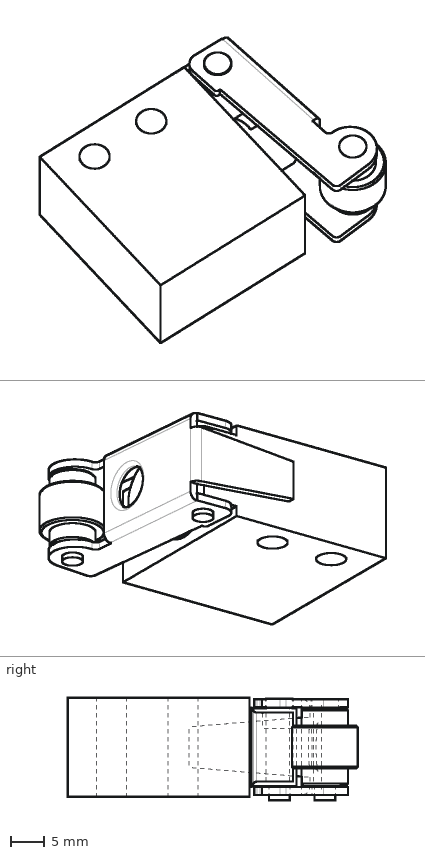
import cadquery as cq
import math

OVERALL_LENGTH = 43.8

HOUSING_WIDTH = 30.05
HOUSING_LENGTH = 27.45
HOUSING_THICKNESS = 15.0
MOUNTING_HOLE_DIAMETER = 4.55
MOUNTING_HOLE_X = 5.0
MOUNTING_HOLE_FIRST_Y = 6.6
MOUNTING_HOLE_SPACING = 10.77
LUG_LENGTH = 5.85
LUG_HEIGHT = 7.1
LUG_CHAMFER = 1.05
LUG_THICKNESS = 11.75

LEVER_ANGLE = 5.0
SHEET = 1.23
LEVER_OUTER_WIDTH = 14.45
LEVER_INNER_WIDTH = LEVER_OUTER_WIDTH - 2 * SHEET
FOLD_HEIGHT = 3.65
WEB_TOP = FOLD_HEIGHT + SHEET
WEB_LEFT = -2.9
WEB_RIGHT = 17.5
FLANGE_TOP_LEFT = -3.02
HEEL_LEFT = -3.75
HEEL_BOTTOM = -3.7
HEEL_RIGHT = 3.75
HEEL_RADIUS = 2.0
HEEL_STEP_RADIUS = 0.45
FLANGE_BOTTOM_LEFT = -2.95
FLANGE_BOTTOM_RIGHT = -2.35
NECK_HEIGHT = 3.4
TOE_RADIUS = 0.88
EAR_RADIUS = 4.05
EAR_CENTRE_HEIGHT = 4.15
EAR_ROOT_RADIUS = 0.8
WEB_HOLE_DIAMETER = 6.5
WEB_HOLE_ROUNDING = 0.65

TAB_BOTTOM_Y = 18.35
TAB_TOP_WIDTH = 8.95
TAB_BOTTOM_WIDTH = 6.15

ROLLER_RADIUS = 5.0
ROLLER_WIDTH = 6.5
ROLLER_CHAMFER = 0.3
HUB_RADIUS = 3.5
HUB_WIDTH = 11.65
HUB_CHAMFER = 0.3
NECK_RADIUS = 2.35
AXLE_RADIUS = 2.05
ROLLER_U = 25.1
ROLLER_V = 4.7

PIVOT_X = 2.45
PIVOT_RADIUS = 2.0
PIVOT_HOLE_RADIUS = 2.1
PIVOT_PROUD = 0.15
STUB_RADIUS = 1.58
STUB_PROUD = 0.53

PLUNGER_X = 13.97
PLUNGER_RADIUS = 5.2
PLUNGER_HEIGHT = 6.55
FLARE_RIM_RADIUS = 6.0
FLARE_FOOT_RADIUS = 5.85
FLARE_SHOULDER_RADIUS = 5.5
FLARE_RIM_HEIGHT = 0.3
FLARE_SHOULDER_HEIGHT = 0.55
FLARE_FILLET_HEIGHT = 0.45
FLAT_START_HEIGHT = 1.95
FLAT_DIRECTION = 28.0
FLAT_DISTANCE = 4.55

LEVER_COS = math.cos(math.radians(LEVER_ANGLE))
LEVER_SIN = math.sin(math.radians(LEVER_ANGLE))
PIVOT_Y = OVERALL_LENGTH - ROLLER_RADIUS - ROLLER_U * LEVER_SIN - ROLLER_V * LEVER_COS
LEVER_TOP_Z = LEVER_OUTER_WIDTH / 2
LEVER_INNER_Z = LEVER_INNER_WIDTH / 2
STUB_BOTTOM_Z = -HOUSING_THICKNESS / 2 - STUB_PROUD


def place_on_lever(shape):
    """Move a shape from the lever frame to its place on the housing."""
    turned = shape.rotate((0, 0, 0), (0, 0, 1), LEVER_ANGLE)
    return turned.translate((PIVOT_X, PIVOT_Y, 0))


def revolve_about_z(profile):
    """Turn a list of (radius, z) points about the Z axis."""
    return cq.Workplane("XZ").polyline(profile).close().revolve(360, (0, 0, 0), (0, 1, 0))


def make_pivot():
    """The pin through both flanges and the lug, stepped at the lower flange."""
    return revolve_about_z([
        (0, STUB_BOTTOM_Z),
        (STUB_RADIUS, STUB_BOTTOM_Z),
        (STUB_RADIUS, -LEVER_INNER_Z),
        (PIVOT_RADIUS, -LEVER_INNER_Z),
        (PIVOT_RADIUS, LEVER_TOP_Z + PIVOT_PROUD),
        (0, LEVER_TOP_Z + PIVOT_PROUD),
    ]).translate((PIVOT_X, PIVOT_Y, 0))


def make_roller():
    """The roller with its hub and axle, as one solid."""
    def disc(radius, width, chamfer):
        blank = cq.Workplane("XY").circle(radius).extrude(width / 2, both=True)
        return blank.faces("<Z or >Z").edges().chamfer(chamfer)

    axle = revolve_about_z([
        (0, STUB_BOTTOM_Z),
        (STUB_RADIUS, STUB_BOTTOM_Z),
        (STUB_RADIUS, -LEVER_INNER_Z),
        (NECK_RADIUS, -LEVER_INNER_Z),
        (NECK_RADIUS, LEVER_INNER_Z),
        (AXLE_RADIUS, LEVER_INNER_Z),
        (AXLE_RADIUS, LEVER_TOP_Z),
        (0, LEVER_TOP_Z),
    ])
    hub = disc(HUB_RADIUS, HUB_WIDTH, HUB_CHAMFER)
    tread = disc(ROLLER_RADIUS, ROLLER_WIDTH, ROLLER_CHAMFER)
    return place_on_lever(axle.union(hub).union(tread).translate((ROLLER_U, ROLLER_V, 0)))


def make_plunger():
    """The round plunger with a flared foot and one flat near its top."""
    fillet_top = FLARE_SHOULDER_HEIGHT + FLARE_FILLET_HEIGHT
    plunger = (
        cq.Workplane("XY")
        .lineTo(FLARE_FOOT_RADIUS, 0)
        .lineTo(FLARE_RIM_RADIUS, FLARE_RIM_HEIGHT)
        .lineTo(FLARE_SHOULDER_RADIUS, FLARE_SHOULDER_HEIGHT)
        .tangentArcPoint((PLUNGER_RADIUS, fillet_top), relative=False)
        .lineTo(PLUNGER_RADIUS, PLUNGER_HEIGHT)
        .lineTo(0, PLUNGER_HEIGHT)
        .close()
        .revolve(360, (0, 0, 0), (0, 1, 0))
    )
    flat_cut = (
        cq.Workplane("XY")
        .box(2 * PLUNGER_RADIUS, PLUNGER_HEIGHT, PLUNGER_RADIUS, centered=(True, False, False))
        .translate((0, FLAT_START_HEIGHT, FLAT_DISTANCE))
        .rotate((0, 0, 0), (0, 1, 0), -FLAT_DIRECTION)
    )
    return plunger.cut(flat_cut).translate((PLUNGER_X, HOUSING_LENGTH, 0))


def make_flanges():
    """The two side plates, in the lever frame."""
    ear_right = ROLLER_U + EAR_RADIUS
    ear_left = ROLLER_U - EAR_RADIUS
    plate = (
        cq.Workplane("XY")
        .moveTo(WEB_RIGHT, FOLD_HEIGHT)
        .lineTo(FLANGE_TOP_LEFT, FOLD_HEIGHT)
        .lineTo(HEEL_LEFT, HEEL_BOTTOM)
        .lineTo(HEEL_RIGHT, HEEL_BOTTOM)
        .lineTo(HEEL_RIGHT, FLANGE_BOTTOM_LEFT)
        .lineTo(ear_right, FLANGE_BOTTOM_RIGHT)
        .lineTo(ear_right, EAR_CENTRE_HEIGHT)
        .threePointArc((ROLLER_U, EAR_CENTRE_HEIGHT + EAR_RADIUS), (ear_left, EAR_CENTRE_HEIGHT))
        .lineTo(ear_left, NECK_HEIGHT)
        .lineTo(WEB_RIGHT, NECK_HEIGHT)
        .close()
        .extrude(SHEET)
    )

    def round_corner(shape, u, v, radius):
        corner = cq.selectors.NearestToPointSelector((u, v, SHEET / 2))
        return shape.edges("|Z").edges(corner).fillet(radius)

    plate = round_corner(plate, HEEL_LEFT, HEEL_BOTTOM, HEEL_RADIUS)
    plate = round_corner(plate, HEEL_RIGHT, HEEL_BOTTOM, HEEL_STEP_RADIUS)
    plate = round_corner(plate, ear_right, FLANGE_BOTTOM_RIGHT, TOE_RADIUS)
    plate = round_corner(plate, ear_left, NECK_HEIGHT, EAR_ROOT_RADIUS)
    upper = plate.translate((0, 0, LEVER_INNER_Z))
    lower = plate.translate((0, 0, -LEVER_TOP_Z))
    return upper, lower


def make_web():
    """The back of the lever with the bends to both flanges, in the lever frame."""
    mid_bend = SHEET * math.sqrt(0.5)
    section = (
        cq.Workplane("YZ", origin=(WEB_LEFT, 0, 0))
        .moveTo(FOLD_HEIGHT, -LEVER_TOP_Z)
        .threePointArc(
            (FOLD_HEIGHT + mid_bend, -LEVER_INNER_Z - mid_bend), (WEB_TOP, -LEVER_INNER_Z)
        )
        .lineTo(WEB_TOP, LEVER_INNER_Z)
        .threePointArc(
            (FOLD_HEIGHT + mid_bend, LEVER_INNER_Z + mid_bend), (FOLD_HEIGHT, LEVER_TOP_Z)
        )
        .close()
    )
    web = section.extrude(WEB_RIGHT - WEB_LEFT)
    hole_u = (PLUNGER_X - PIVOT_X + WEB_TOP * LEVER_SIN) / LEVER_COS
    hole = (
        cq.Workplane("XZ", origin=(hole_u, WEB_TOP, 0)).circle(WEB_HOLE_DIAMETER / 2).extrude(SHEET)
    )
    rim = cq.selectors.NearestToPointSelector((hole_u, WEB_TOP, 0))
    return web.cut(hole).edges("%CIRCLE").edges(rim).fillet(WEB_HOLE_ROUNDING)


def make_tab():
    """The guard tab and the bend that joins it to the left end of the web."""
    bend_x = PIVOT_X + WEB_LEFT * LEVER_COS - FOLD_HEIGHT * LEVER_SIN
    bend_y = PIVOT_Y + WEB_LEFT * LEVER_SIN + FOLD_HEIGHT * LEVER_COS
    mid_angle = math.radians((90 + LEVER_ANGLE + 180) / 2)
    bend = (
        cq.Workplane("XY")
        .moveTo(bend_x, bend_y)
        .lineTo(bend_x - SHEET * LEVER_SIN, bend_y + SHEET * LEVER_COS)
        .threePointArc(
            (bend_x + SHEET * math.cos(mid_angle), bend_y + SHEET * math.sin(mid_angle)),
            (bend_x - SHEET, bend_y),
        )
        .close()
        .extrude(TAB_TOP_WIDTH / 2, both=True)
    )
    blade = (
        cq.Workplane("YZ", origin=(bend_x - SHEET, 0, 0))
        .polyline([
            (bend_y, TAB_TOP_WIDTH / 2),
            (bend_y, -TAB_TOP_WIDTH / 2),
            (TAB_BOTTOM_Y, -TAB_BOTTOM_WIDTH / 2),
            (TAB_BOTTOM_Y, TAB_BOTTOM_WIDTH / 2),
        ])
        .close()
        .extrude(SHEET)
    )
    return blade.union(bend)


def make_lever(pins):
    """The lever in its place, with holes that match the pins."""
    lever = make_web()
    for flange in make_flanges():
        lever = lever.union(flange)
    lever = place_on_lever(lever).union(make_tab())
    pivot_hole = cq.Workplane("XY").circle(PIVOT_HOLE_RADIUS).extrude(LEVER_TOP_Z)
    lever = lever.cut(place_on_lever(pivot_hole))
    for pin in pins:
        lever = lever.cut(pin)
    return lever


def make_housing(pivot):
    """The block with its lug, mounting holes and pivot hole."""
    block = cq.Workplane("XY").box(
        HOUSING_WIDTH, HOUSING_LENGTH, HOUSING_THICKNESS, centered=(False, False, True)
    )
    lug = (
        cq.Workplane("XY", origin=(0, HOUSING_LENGTH, 0))
        .box(LUG_LENGTH, LUG_HEIGHT, LUG_THICKNESS, centered=(False, False, True))
        .edges("<X and >Y")
        .chamfer(LUG_CHAMFER)
    )
    hole_places = [
        (MOUNTING_HOLE_X, MOUNTING_HOLE_FIRST_Y + row * MOUNTING_HOLE_SPACING) for row in range(2)
    ]
    holes = (
        cq.Workplane("XY")
        .pushPoints(hole_places)
        .circle(MOUNTING_HOLE_DIAMETER / 2)
        .extrude(HOUSING_THICKNESS, both=True)
    )
    return block.union(lug).cut(holes).cut(pivot)


pivot = make_pivot()
roller = make_roller()
plunger = make_plunger()
lever = make_lever([pivot, roller])
housing = make_housing(pivot)

result = cq.Compound.makeCompound([
    housing.solids().val(),
    lever.solids().val(),
    pivot.solids().val(),
    roller.solids().val(),
    plunger.solids().val(),
])